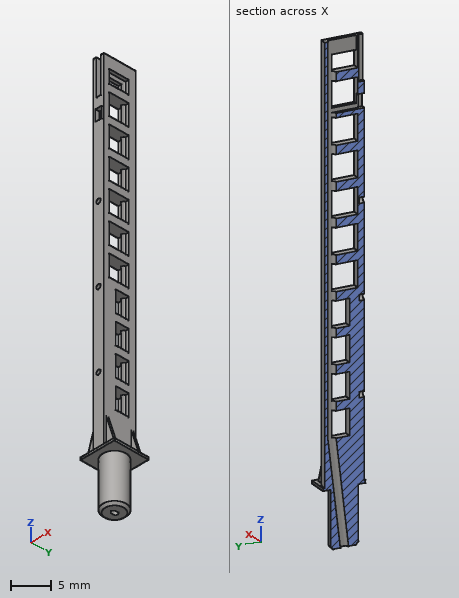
import cadquery as cq

TOTAL_HEIGHT = 68.0
SPIGOT_LENGTH = 8.0
SPIGOT_DIAMETER = 4.0
SPIGOT_CHAMFER = 0.4
PLATE_SIDE = 6.0
PLATE_THICKNESS = 0.4
PLATE_TOP = SPIGOT_LENGTH + PLATE_THICKNESS

MAST_WIDTH = 1.9
MAST_DEPTH = 5.6
MAST_FRONT = -MAST_DEPTH / 2

GUSSET_REACH = 2.45
GUSSET_HEIGHT = 4.6
GUSSET_THICKNESS = 0.4
GUSSET_OFFSET = 2.2

WINDOW_BACK = 1.55
WIDE_WINDOW = 3.4
NARROW_WINDOW = 2.25
WINDOW_HEIGHT = 3.6
WINDOW_PITCH = 4.9
TOP_WINDOW_HEIGHT = 2.25
TOP_WINDOW_FLOOR = 63.8
WIDE_WINDOW_COUNT = 6
NARROW_WINDOW_COUNT = 4

CHANNEL_WIDTH = 0.75
CHANNEL_DEPTH = 1.1
CHANNEL_OFFSET = 1.8
LEAN_START = 14.95

TOP_POCKET_WIDTH = 0.75

GROOVE_WIDTH = 0.75
GROOVE_LENGTH = 6.1
GROOVE_DEPTH = 0.75
POCKET_WIDTH = 1.1
POCKET_DEPTH = 0.7
PASSAGE_WIDTH = 0.75
POCKET_FLOOR = 58.3
POCKET_HEIGHT = 1.9
HOLE_DIAMETER = 0.75
HOLE_DEPTH = 0.7
HOLE_COUNT = 3
LOWEST_HOLE = 20.0
HOLE_PITCH = 13.0


def block(x_size, y_range, z_range):
    """Box centred on X = 0, spanning the given Y and Z ranges."""
    y_size = y_range[1] - y_range[0]
    z_size = z_range[1] - z_range[0]
    box = cq.Workplane("XY").box(x_size, y_size, z_size, centered=(True, False, False))
    return box.translate((0, y_range[0], z_range[0]))


def make_spigot():
    spigot = cq.Workplane("XY").circle(SPIGOT_DIAMETER / 2).extrude(SPIGOT_LENGTH)
    return spigot.faces("<Z").chamfer(SPIGOT_CHAMFER)


def make_plate():
    half = PLATE_SIDE / 2
    return block(PLATE_SIDE, (-half, half), (SPIGOT_LENGTH, PLATE_TOP))


def make_mast():
    return block(MAST_WIDTH, (MAST_FRONT, -MAST_FRONT), (PLATE_TOP, TOTAL_HEIGHT))


def make_gusset_pair(y_center):
    """Two mirrored gussets, joined through the mast as one trapezoid."""
    outline = [
        (-GUSSET_REACH, PLATE_TOP),
        (GUSSET_REACH, PLATE_TOP),
        (MAST_WIDTH / 2, PLATE_TOP + GUSSET_HEIGHT),
        (-MAST_WIDTH / 2, PLATE_TOP + GUSSET_HEIGHT),
    ]
    web = cq.Workplane("XZ").polyline(outline).close()
    return web.extrude(GUSSET_THICKNESS / 2, both=True).translate((0, y_center, 0))


def make_window(width, floor, height):
    return block(MAST_WIDTH, (WINDOW_BACK - width, WINDOW_BACK), (floor, floor + height))


def make_windows():
    windows = make_window(WIDE_WINDOW, TOP_WINDOW_FLOOR, TOP_WINDOW_HEIGHT)
    for index in range(WIDE_WINDOW_COUNT + NARROW_WINDOW_COUNT):
        width = WIDE_WINDOW if index < WIDE_WINDOW_COUNT else NARROW_WINDOW
        floor = TOP_WINDOW_FLOOR - (index + 1) * WINDOW_PITCH
        windows = windows.union(make_window(width, floor, WINDOW_HEIGHT))
    return windows


def channel_section(y_center, z):
    plane = cq.Workplane("XY", origin=(0, y_center, z))
    return plane.slot2D(CHANNEL_DEPTH, CHANNEL_WIDTH, 90)


def make_wire_channel():
    straight = channel_section(CHANNEL_OFFSET, LEAN_START).extrude(TOTAL_HEIGHT - LEAN_START)
    lower_end = channel_section(0, 0).wires().val()
    upper_end = channel_section(CHANNEL_OFFSET, LEAN_START).wires().val()
    leaning = cq.Workplane(obj=cq.Solid.makeLoft([lower_end, upper_end], ruled=True))
    return straight.union(leaning)


def make_top_pocket():
    """Pocket from the mast top into the top window, merging with the wire channel."""
    y_range = (WINDOW_BACK - WIDE_WINDOW, CHANNEL_OFFSET)
    z_range = (TOP_WINDOW_FLOOR + TOP_WINDOW_HEIGHT, TOTAL_HEIGHT)
    return block(TOP_POCKET_WIDTH, y_range, z_range)


def make_front_groove():
    y_range = (MAST_FRONT, MAST_FRONT + GROOVE_DEPTH)
    return block(GROOVE_WIDTH, y_range, (TOTAL_HEIGHT - GROOVE_LENGTH, TOTAL_HEIGHT))


def make_front_pocket():
    """Wide mouth on the front face with a narrower passage to the wire channel."""
    z_range = (POCKET_FLOOR, POCKET_FLOOR + POCKET_HEIGHT)
    mouth = block(POCKET_WIDTH, (MAST_FRONT, MAST_FRONT + POCKET_DEPTH), z_range)
    passage = block(PASSAGE_WIDTH, (MAST_FRONT, CHANNEL_OFFSET), z_range)
    return mouth.union(passage)


def make_front_holes():
    """Row of shallow blind holes in the front face."""
    centers = [(0, LOWEST_HOLE + index * HOLE_PITCH) for index in range(HOLE_COUNT)]
    face = cq.Workplane("XZ", origin=(0, MAST_FRONT, 0)).pushPoints(centers)
    return face.circle(HOLE_DIAMETER / 2).extrude(-HOLE_DEPTH)


result = make_spigot().union(make_plate()).union(make_mast())
for side in (-1, 1):
    result = result.union(make_gusset_pair(side * GUSSET_OFFSET))

result = result.cut(make_windows()).cut(make_wire_channel())
result = result.cut(make_top_pocket()).cut(make_front_groove())
result = result.cut(make_front_pocket()).cut(make_front_holes())